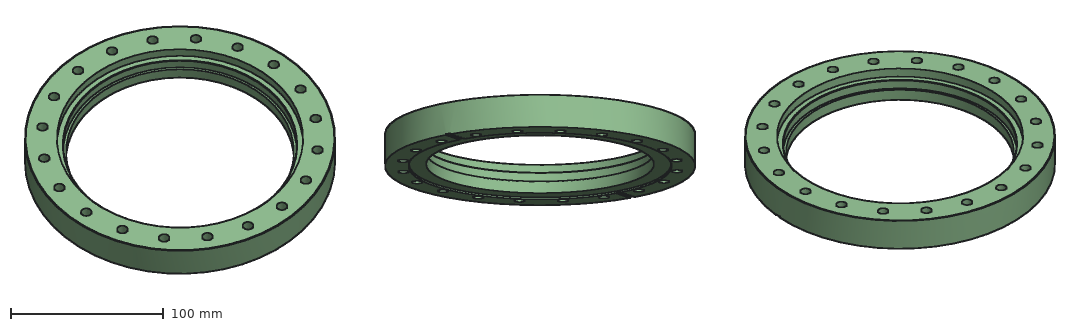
import cadquery as cq

outer_diameter = 203.0
height = 22.0
rim_chamfer_width = 0.6
rim_chamfer_height = 0.2

lip_diameter = 161.0
lip_height = 6.3
recess_diameter = 172.1
recess_depth = height - lip_height

bolt_count = 20
bolt_circle_diameter = 181.0
bolt_hole_diameter = 7.0
bolt_pitch = 360 / bolt_count

groove_width = 3.7
groove_depth = 0.6

insert_diameter = 171.3
insert_top = recess_depth
insert_bottom = 1.2
bore_diameter = 149.0
socket_diameter = 152.7
socket_depth = 6.5
socket_chamfer = 0.5


def cylinder(diameter, bottom, top):
    """Cylinder on the Z axis between two heights."""
    return cq.Workplane("XY").workplane(offset=bottom).circle(diameter / 2).extrude(top - bottom)


def make_ring():
    """Rotatable bolt ring with a lip that holds the insert."""
    outer_radius = outer_diameter / 2
    half_profile = (
        cq.Workplane("XZ")
        .lineTo(outer_radius, 0)
        .lineTo(outer_radius, height - rim_chamfer_height)
        .lineTo(outer_radius - rim_chamfer_width, height)
        .lineTo(0, height)
        .close()
    )
    ring = half_profile.revolve(360, (0, 0, 0), (0, 1, 0))
    ring = ring.cut(cylinder(lip_diameter, 0, height))
    ring = ring.cut(cylinder(recess_diameter, 0, recess_depth))

    bolt_holes = (
        cq.Workplane("XY")
        .polarArray(bolt_circle_diameter / 2, bolt_pitch / 2, 360, bolt_count)
        .circle(bolt_hole_diameter / 2)
        .extrude(height)
    )
    ring = ring.cut(bolt_holes)

    groove_bar = cq.Workplane("XY").rect(outer_diameter, groove_width).extrude(groove_depth)
    return ring.cut(groove_bar)


def make_insert():
    """Inner ring seated under the lip, with a tube socket in its top."""
    insert = cylinder(insert_diameter, insert_bottom, insert_top)
    insert = insert.cut(cylinder(bore_diameter, insert_bottom, insert_top))
    insert = insert.cut(cylinder(socket_diameter, insert_top - socket_depth, insert_top))
    socket_rim = insert.faces(">Z").edges(cq.selectors.RadiusNthSelector(0))
    return socket_rim.chamfer(socket_chamfer)


ring = make_ring()
insert = make_insert()
result = cq.Compound.makeCompound([ring.val(), insert.val()])